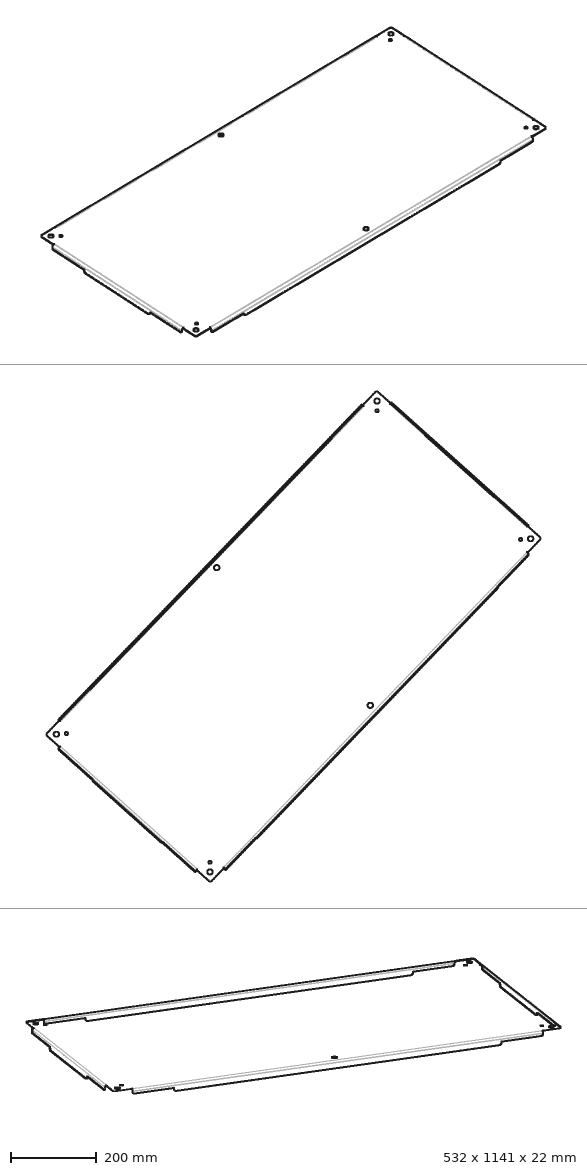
import cadquery as cq

width = 532.0
length = 1141.0
height = 22.0

sheet = 2.5
bend_radius = 7.0
corner_inset = 4.0
corner_radius = 5.0

shallow_depth = 14.0
end_flange_length = 436.0
end_tongue_length = 221.0
side_flange_length = 1039.0
side_tongue_length = 829.0
shallow_corner_radius = 5.0
tongue_corner_radius = 6.0

mount_diameter = 13.0
mount_x = 244.0
mount_y = 549.0
small_diameter = 7.2
small_x = 228.0
small_y = 532.0


def make_plate():
    """Flat panel with rounded corners; its top face is at Z = 0."""
    plate = cq.Workplane("XY").rect(width - 2 * corner_inset, length - 2 * corner_inset)
    return plate.extrude(-sheet).edges("|Z").fillet(corner_radius)


def make_flange(edge_distance, flange_length, tongue_length):
    """Folded flange running along X, with its outer face at Y = -edge_distance."""
    inner_radius = bend_radius - sheet
    bend_start = bend_radius - edge_distance
    folded_strip = (
        cq.Workplane("YZ")
        .moveTo(bend_start, 0)
        .radiusArc((-edge_distance, -bend_radius), -bend_radius)
        .lineTo(-edge_distance, -height)
        .lineTo(sheet - edge_distance, -height)
        .lineTo(sheet - edge_distance, -bend_radius)
        .radiusArc((bend_start, -sheet), inner_radius)
        .close()
        .extrude(flange_length / 2, both=True)
    )
    return folded_strip.intersect(make_step_outline(edge_distance, flange_length, tongue_length))


def make_step_outline(edge_distance, flange_length, tongue_length):
    """Block with the stepped face shape of a flange, spanning the whole fold."""
    block_start = cq.Workplane("XZ", origin=(0, bend_radius - edge_distance, 0))
    shallow = (
        block_start.rect(flange_length, 2 * shallow_depth)
        .extrude(bend_radius)
        .edges("|Y and <Z")
        .fillet(shallow_corner_radius)
    )
    tongue = (
        block_start.rect(tongue_length, 2 * height)
        .extrude(bend_radius)
        .edges("|Y and <Z")
        .fillet(tongue_corner_radius)
    )
    return shallow.union(tongue)


def mirrored_points(x, y):
    return [(side_x * x, side_y * y) for side_x in (-1, 1) for side_y in (-1, 1)]


def cut_through(panel, cutters):
    """Remove sketched openings straight through the sheet."""
    return panel.cut(cutters.extrude(-sheet))


end_flange = make_flange(length / 2, end_flange_length, end_tongue_length)
side_flange = make_flange(width / 2, side_flange_length, side_tongue_length)

panel = make_plate()
for flange, first_turn, edge_distance, flange_length in (
    (end_flange, 0, length / 2, end_flange_length),
    (side_flange, 90, width / 2, side_flange_length),
):
    fold_zone = cq.Workplane("XY").box(flange_length, bend_radius, 2 * height)
    fold_zone = fold_zone.translate((0, bend_radius / 2 - edge_distance, 0))
    for turn in (first_turn, first_turn + 180):
        panel = panel.cut(fold_zone.rotate((0, 0, 0), (0, 0, 1), turn))
        panel = panel.union(flange.rotate((0, 0, 0), (0, 0, 1), turn))

mount_points = mirrored_points(mount_x, mount_y) + [(-mount_x, 0), (mount_x, 0)]
mount_holes = cq.Workplane("XY").pushPoints(mount_points).circle(mount_diameter / 2)
panel = cut_through(panel, mount_holes)

small_points = mirrored_points(small_x, small_y)
small_holes = cq.Workplane("XY").pushPoints(small_points).circle(small_diameter / 2)
result = cut_through(panel, small_holes)